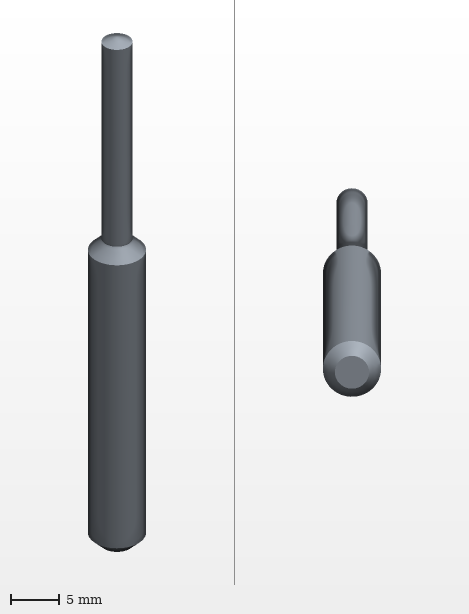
import cadquery as cq

total_length = 62.0
handle_radius = 6.0 / 2
shaft_radius = 3.2 / 2

base_chamfer = 1.25
shoulder_start = 35.95
shoulder_end = shoulder_start + handle_radius - shaft_radius
joint_height = 48.1
point_height = 0.5
point_start = total_length - point_height


def make_holder():
    """Chamfered handle tapering through a shoulder into a slim neck."""
    profile = (
        cq.Workplane("XZ")
        .moveTo(0, 0)
        .lineTo(handle_radius - base_chamfer, 0)
        .lineTo(handle_radius, base_chamfer)
        .lineTo(handle_radius, shoulder_start)
        .lineTo(shaft_radius, shoulder_end)
        .lineTo(shaft_radius, joint_height)
        .lineTo(0, joint_height)
        .close()
    )
    return profile.revolve(360, (0, 0, 0), (0, 1, 0))


def make_tip():
    """Rod continuing flush from the neck, ending in a shallow conical point."""
    profile = (
        cq.Workplane("XZ")
        .moveTo(0, joint_height)
        .lineTo(shaft_radius, joint_height)
        .lineTo(shaft_radius, point_start)
        .lineTo(0, total_length)
        .close()
    )
    return profile.revolve(360, (0, 0, 0), (0, 1, 0))


holder = make_holder()
tip = make_tip()

result = cq.Compound.makeCompound([holder.val(), tip.val()])